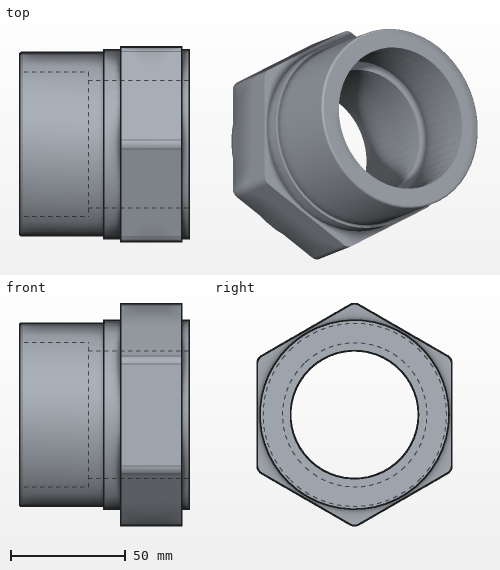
import cadquery as cq

total_length = 74.0
spigot_length = 36.75
hex_start = 44.0
hex_width = 26.75
socket_depth = 29.9

spigot_diameter = 80.0
collar_diameter = 82.5
socket_diameter = 63.0
bore_diameter = 55.7
hex_across_flats = 85.0
hex_corner_radius = 4.0
end_rounding = 1.0


def cylinder(diameter, start, length):
    """Solid cylinder on the X axis."""
    return cq.Workplane("YZ", origin=(start, 0, 0)).circle(diameter / 2).extrude(length)


def rounded_spigot():
    """Plain pipe end with its outer rim rounded."""
    return cylinder(spigot_diameter, 0, spigot_length).faces("<X").edges().fillet(end_rounding)


def hexagon():
    """Wrench hexagon with flats on +Y and -Y and rounded corners on +Z and -Z."""
    return (
        cq.Workplane("YZ", origin=(hex_start, 0, 0))
        .polygon(6, hex_across_flats, circumscribed=True)
        .extrude(hex_width)
        .edges("|X")
        .fillet(hex_corner_radius)
    )


collar = cylinder(collar_diameter, spigot_length, total_length - spigot_length)
body = rounded_spigot().union(collar).union(hexagon())

socket = cylinder(socket_diameter, 0, socket_depth)
bore = cylinder(bore_diameter, 0, total_length)

result = body.cut(socket).cut(bore)